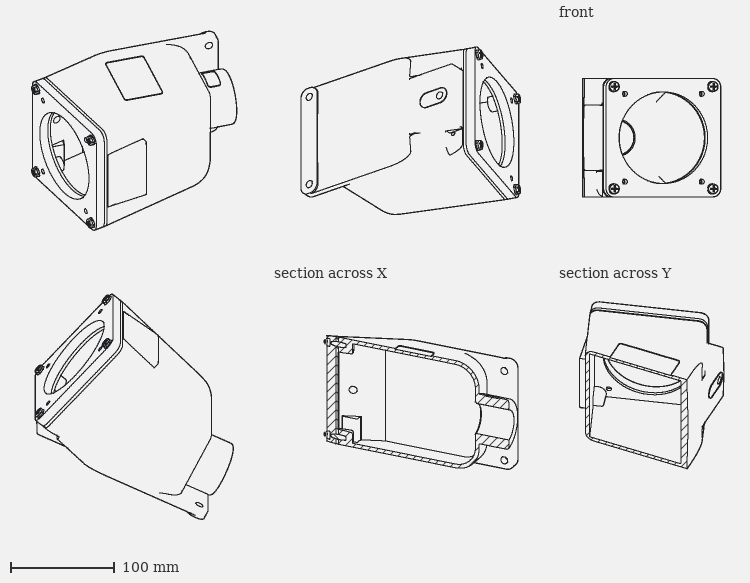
import cadquery as cq
import math


HEIGHT = 114.6
HALF_HEIGHT = HEIGHT / 2
BEYOND = 198.0

FRONT_TILT = 15.0
FRONT_RIGHT_X = 133.2
FRONT_RIGHT_Y = -166.0
CORNER_R = 8.5
COVER_T = 9.1
GASKET_T = 3.0
STACK_T = COVER_T + GASKET_T
OPENING_R = 44.1

LEFT_WALL_TILT = 19.4
RIGHT_WALL_TILT = 20.1
HOUSING_TOP_Y = -31.7
TOP_ROUND_R = 25.5
SHOULDER_R = 22.5
INNER_SHOULDER_R = 19.8
WALL_T = 4.5
RIM_FILLET = 1.5
CAVITY_LEFT_X = 9.0

BACK_X = 0.5
BACK_TAPER = 1.4
PLATE_FRONT_X = 9.9
PLATE_TOP_Y = -3.2
PLATE_BOTTOM_Y = -79.2
PLATE_EDGE_FILLET = 2.0
TOP_PAD_WIDTH = 19.4
MOUNT_HOLE_D = 7.3
MOUNT_HOLE_Y = -13.3
MOUNT_HOLE_Z = 47.5
MOUNT_HOLE_REACH = 23.8

FOOT_HALF_WIDTH = 31.5
FOOT_BOTTOM_Y = -184.1
FOOT_FILLET = 2.0
FOOT_BASE_FILLET = 2.0
OVAL_PAD_LENGTH = 32.0
OVAL_PAD_WIDTH = 15.8
OVAL_PAD_CENTER_Y = -162.3
FOOT_HOLE_Y = -170.0

RECESS_FLOOR_X = 19.2
RECESS_TOP_Y = -168.0
RECESS_SIDE_Z = -32.5
RECESS_BACKING = 4.5
RECESS_STEP_FILLET = 1.4
RECESS_FLOOR_FILLET = 0.8
GROUND_HOLE_D = 3.5
GROUND_HOLE_Y = -172.0
GROUND_HOLE_Z = -34.5
GROUND_HOLE_DEPTH = 3.2

WEDGE_TOP_INNER = (112.8, -113.6)
WEDGE_TOP_OUTER = (121.7, -111.3)
WEDGE_BOTTOM_OUTER = (130.0, -153.2)
WEDGE_BOTTOM_INNER = (124.7, -153.2)
WEDGE_FILLET = 1.5

HUB_X = 32.5
HUB_R = 27.3
HUB_EDGE_R = 3.0
BORE_R = 16.8
BORE_CHAMFER = 1.4

PANEL_DEPTH = 0.8
PANEL_CORNER_R = 2.5
LABEL_LENGTH = 64.1
LABEL_WIDTH = 38.6
LABEL_X = 51.3
LABEL_Y = -102.0
HUB_LABEL_LENGTH = 24.0
HUB_LABEL_WIDTH = 12.9
HUB_LABEL_Y = -18.2

SCREW_OFFSET = 49.3
SHANK_R = 2.4
SHANK_LENGTH = 19.8
HEAD_R = 4.5
HEAD_GAP = 1.5
HEAD_T = 1.8
HEAD_EDGE_R = 0.5
SLOT_LENGTH = 6.3
SLOT_WIDTH = 1.2
SLOT_DEPTH = 1.0
COUNTERBORE_R = 5.0
COUNTERBORE_DEPTH = 3.0
COLUMN_R = 8.3
COLUMN_LENGTH = 14.6
COLUMN_END_R = 1.5
SMALL_HOLE_D = 4.8
SMALL_HOLE_X = 38.5
SMALL_HOLE_Z = 42.4

TILT = math.radians(FRONT_TILT)
FRONT_CENTER_X = FRONT_RIGHT_X - HALF_HEIGHT * math.cos(TILT)
FRONT_CENTER_Y = FRONT_RIGHT_Y - HALF_HEIGHT * math.sin(TILT)
SCREW_PLACES = [(sx * SCREW_OFFSET, sz * SCREW_OFFSET) for sx in (-1, 1) for sz in (-1, 1)]
SMALL_HOLE_PLACES = [(sx * SMALL_HOLE_X, sz * SMALL_HOLE_Z) for sx in (-1, 1) for sz in (-1, 1)]


def front_plane(depth=0.0):
    """Workplane parallel to the cover, `depth` behind its outer face, facing outwards."""
    origin = (FRONT_CENTER_X - depth * math.sin(TILT), FRONT_CENTER_Y + depth * math.cos(TILT), 0)
    plane = cq.Plane(origin, (math.cos(TILT), math.sin(TILT), 0), (math.sin(TILT), -math.cos(TILT), 0))
    return cq.Workplane(plane)


def mouth_corner(side):
    """XY place of the housing's mouth corner on the -X (side = -1) or +X (side = 1) wall."""
    x = FRONT_CENTER_X - STACK_T * math.sin(TILT) + side * HALF_HEIGHT * math.cos(TILT)
    y = FRONT_CENTER_Y + STACK_T * math.cos(TILT) + side * HALF_HEIGHT * math.sin(TILT)
    return x, y


MOUTH_LEFT = mouth_corner(-1)
MOUTH_RIGHT = mouth_corner(1)


def left_wall_x(y, depth=0.0):
    """X at the given Y of the plane that lies `depth` inside the outer -X wall."""
    tilt = math.radians(LEFT_WALL_TILT)
    return MOUTH_LEFT[0] - math.tan(tilt) * (y - MOUTH_LEFT[1]) + depth / math.cos(tilt)


def left_wall_y(x, depth=0.0):
    """Y at the given X of the plane that lies `depth` inside the outer -X wall."""
    tilt = math.radians(LEFT_WALL_TILT)
    return MOUTH_LEFT[1] - (x - MOUTH_LEFT[0]) / math.tan(tilt) + depth / math.sin(tilt)


def right_wall_x(y, depth=0.0):
    """X at the given Y of the plane that lies `depth` inside the outer +X wall."""
    tilt = math.radians(RIGHT_WALL_TILT)
    return MOUTH_RIGHT[0] - math.tan(tilt) * (y - MOUTH_RIGHT[1]) - depth / math.cos(tilt)


def prism(points, half_height):
    """Straight-sided block over an XY outline, symmetric about Z = 0."""
    return cq.Workplane("XY").polyline(points).close().extrude(half_height, both=True)


def rounded_slab(half_height, top_y, round_r):
    """Slab along X whose two edges at `top_y` are rounded."""
    slab = cq.Workplane("XY").box(2 * BEYOND, BEYOND, 2 * half_height).translate((0, top_y - BEYOND / 2, 0))
    return slab.edges("|X and >Y").fillet(round_r)


def midpoint(start, end):
    return (start[0] + end[0]) / 2, (start[1] + end[1]) / 2


def edge_near(solid, point):
    """The edge whose middle lies closest to a point."""
    return solid.edges(cq.selectors.NearestToPointSelector(point)).val()


def housing_shell():
    """Outer body between the mounting wall and the mouth, without plate, foot and hub."""
    outline = [
        (0, HOUSING_TOP_Y),
        (right_wall_x(HOUSING_TOP_Y), HOUSING_TOP_Y),
        MOUTH_RIGHT,
        MOUTH_LEFT,
        (0, left_wall_y(0)),
    ]
    shell = prism(outline, HALF_HEIGHT)
    shell = shell.edges("|Z").edges(">Y").edges(">X").fillet(SHOULDER_R)
    shell = shell.intersect(rounded_slab(HALF_HEIGHT, HOUSING_TOP_Y, TOP_ROUND_R))
    wall_edges = [
        edge_near(shell, (x, y, side * HALF_HEIGHT))
        for x, y in (midpoint(MOUTH_RIGHT, outline[1]), midpoint(MOUTH_LEFT, outline[4]))
        for side in (-1, 1)
    ]
    shell = shell.newObject(wall_edges).fillet(CORNER_R)
    mouth_center = front_plane(STACK_T).plane.origin
    mouth_rim = shell.faces(cq.selectors.NearestToPointSelector(mouth_center.toTuple())).edges()
    return mouth_rim.fillet(RIM_FILLET)


def tapered_back():
    """Everything in front of the back surface, which falls away slightly from its centre line."""
    profile = [
        (BACK_X, 0),
        (BACK_X + BACK_TAPER, HALF_HEIGHT),
        (BEYOND, HALF_HEIGHT),
        (BEYOND, -HALF_HEIGHT),
        (BACK_X + BACK_TAPER, -HALF_HEIGHT),
    ]
    return cq.Workplane("XZ").polyline(profile).close().extrude(2 * BEYOND, both=True)


def mounting_plate():
    plate_length = PLATE_TOP_Y - PLATE_BOTTOM_Y
    plate = (
        cq.Workplane("YZ")
        .center(PLATE_TOP_Y - plate_length / 2, 0)
        .rect(plate_length, HEIGHT)
        .extrude(PLATE_FRONT_X)
    )
    plate = plate.edges("|X and >Y").fillet(CORNER_R)
    outline = plate.faces(">X").edges("not <Y")
    return outline.fillet(PLATE_EDGE_FILLET)


def mounting_foot():
    """Wedge that continues the back surface over the inclined -X wall."""
    sunk = WALL_T / 2
    foot = prism(
        [
            (0, left_wall_y(0)),
            (0, FOOT_BOTTOM_Y),
            (left_wall_x(FOOT_BOTTOM_Y), FOOT_BOTTOM_Y),
            (left_wall_x(FOOT_BOTTOM_Y) + sunk, FOOT_BOTTOM_Y + sunk),
            (sunk, left_wall_y(0) + sunk),
        ],
        FOOT_HALF_WIDTH,
    )
    foot = foot.intersect(tapered_back())
    long_edges = foot.edges("|Y").edges(">Z or <Z")
    bottom_edges = foot.faces("<Y").edges("<X or >Z or <Z")
    return long_edges.add(bottom_edges).fillet(FOOT_FILLET)


def foot_base_flares():
    """Concave strips that blend both sides of the foot into the -X wall."""
    tilt = math.radians(LEFT_WALL_TILT)
    along_wall = cq.Vector(-math.sin(tilt), math.cos(tilt), 0)
    wall_normal = cq.Vector(-math.cos(tilt), -math.sin(tilt), 0)
    start = cq.Vector(*MOUTH_LEFT, 0) + along_wall * RIM_FILLET
    sunk = FOOT_BASE_FILLET / 2
    inside_z = FOOT_HALF_WIDTH - sunk
    flare = (
        cq.Workplane(cq.Plane(start, wall_normal, along_wall))
        .moveTo(-sunk, inside_z)
        .lineTo(FOOT_BASE_FILLET, inside_z)
        .lineTo(FOOT_BASE_FILLET, FOOT_HALF_WIDTH)
        .radiusArc((0, FOOT_HALF_WIDTH + FOOT_BASE_FILLET), FOOT_BASE_FILLET)
        .lineTo(-sunk, FOOT_HALF_WIDTH + FOOT_BASE_FILLET)
        .close()
        .extrude(-FOOT_BOTTOM_Y)
        .intersect(tapered_back())
    )
    foot_reach = cq.Workplane("XY").box(BEYOND, BEYOND, BEYOND)
    foot_reach = foot_reach.translate((0, left_wall_y(0) - BEYOND / 2, 0))
    flare = flare.intersect(foot_reach)
    return flare, flare.mirror("XY")


def side_wedge():
    wedge = prism(
        [WEDGE_TOP_INNER, WEDGE_TOP_OUTER, WEDGE_BOTTOM_OUTER, WEDGE_BOTTOM_INNER], FOOT_HALF_WIDTH
    )
    outer_middle = midpoint(WEDGE_TOP_OUTER, WEDGE_BOTTOM_OUTER)
    outer_face = wedge.faces(cq.selectors.NearestToPointSelector((*outer_middle, 0)))
    return outer_face.edges("not <Y").fillet(WEDGE_FILLET)


def hub():
    length = -HOUSING_TOP_Y + WALL_T
    tube = cq.Workplane("XZ").center(HUB_X, 0).circle(HUB_R).extrude(length)
    return tube.faces(">Y").edges().fillet(HUB_EDGE_R)


def hub_bore():
    """Conduit bore, chamfered where it enters the cavity."""
    inner_y = HOUSING_TOP_Y - WALL_T
    bore = cq.Workplane("XZ").center(HUB_X, 0).circle(BORE_R).extrude(-inner_y + WALL_T)
    mouth = cq.Solid.makeCone(
        BORE_R, BORE_R + BORE_CHAMFER, BORE_CHAMFER,
        pnt=cq.Vector(HUB_X, inner_y + BORE_CHAMFER, 0), dir=cq.Vector(0, -1, 0),
    )
    return bore.union(cq.Workplane(mouth))


def cavity():
    """Inside of the housing, one wall thickness within the shell and open at the mouth."""
    inner_top_y = HOUSING_TOP_Y - WALL_T
    below = FOOT_BOTTOM_Y - STACK_T
    outline = [
        (CAVITY_LEFT_X, inner_top_y),
        (right_wall_x(inner_top_y, WALL_T), inner_top_y),
        (right_wall_x(below, WALL_T), below),
        (left_wall_x(below, WALL_T), below),
        (CAVITY_LEFT_X, left_wall_y(CAVITY_LEFT_X, WALL_T)),
    ]
    inside = prism(outline, HALF_HEIGHT - WALL_T)
    inside = inside.edges("|Z").edges(">Y").edges(">X").fillet(INNER_SHOULDER_R)
    return inside.intersect(rounded_slab(HALF_HEIGHT - WALL_T, inner_top_y, TOP_ROUND_R - WALL_T))


def screw_columns():
    """Round-ended corner columns behind the mouth that take the cover screws."""
    columns = front_plane(STACK_T).pushPoints(SCREW_PLACES).circle(COLUMN_R).extrude(-COLUMN_LENGTH)
    column_ends = columns.faces(cq.selectors.DirectionMinMaxSelector(front_plane().plane.zDir, False))
    return column_ends.edges().fillet(COLUMN_END_R)


def ground_recess():
    """Flat-floored recess in the -X wall; its step is rounded at the wall and at the floor."""
    tilt = math.radians(LEFT_WALL_TILT)
    round_y = RECESS_TOP_Y + RECESS_STEP_FILLET
    round_x = left_wall_x(round_y, RECESS_STEP_FILLET)
    wall_tangent = (
        round_x - RECESS_STEP_FILLET * math.cos(tilt),
        round_y - RECESS_STEP_FILLET * math.sin(tilt),
    )
    return (
        cq.Workplane("XY", origin=(0, 0, -HALF_HEIGHT))
        .moveTo(0, FOOT_BOTTOM_Y)
        .lineTo(RECESS_FLOOR_X, FOOT_BOTTOM_Y)
        .lineTo(RECESS_FLOOR_X, RECESS_TOP_Y - RECESS_FLOOR_FILLET)
        .radiusArc((RECESS_FLOOR_X - RECESS_FLOOR_FILLET, RECESS_TOP_Y), -RECESS_FLOOR_FILLET)
        .lineTo(round_x, RECESS_TOP_Y)
        .radiusArc(wall_tangent, RECESS_STEP_FILLET)
        .lineTo(0, wall_tangent[1])
        .close()
        .extrude(HALF_HEIGHT + RECESS_SIDE_Z)
    )


def rounded_panel(length, width, depth):
    return cq.Workplane("XY").rect(length, width).extrude(depth).edges("|Z").fillet(PANEL_CORNER_R)


def pads():
    """Flat mounting pads that stand out from the tapered back to X = 0."""
    depth = BACK_X + BACK_TAPER + WALL_T / 2
    top_pad = (
        cq.Workplane("YZ")
        .center(PLATE_TOP_Y - TOP_PAD_WIDTH / 2, 0)
        .rect(TOP_PAD_WIDTH, HEIGHT)
        .extrude(depth)
        .edges("|X")
        .fillet(CORNER_R)
    )
    oval_pad = (
        cq.Workplane("YZ")
        .center(OVAL_PAD_CENTER_Y, 0)
        .slot2D(OVAL_PAD_LENGTH, OVAL_PAD_WIDTH)
        .extrude(depth)
    )
    return top_pad.union(oval_pad)


def mounting_holes():
    places = [(MOUNT_HOLE_Y, MOUNT_HOLE_Z), (MOUNT_HOLE_Y, -MOUNT_HOLE_Z), (FOOT_HOLE_Y, 0)]
    return cq.Workplane("YZ").pushPoints(places).circle(MOUNT_HOLE_D / 2).extrude(MOUNT_HOLE_REACH)


def label_panels():
    """Shallow panels sunk into the +Z face of the body and into the +Z side of the hub."""
    body_panel = (
        rounded_panel(LABEL_LENGTH, LABEL_WIDTH, BEYOND)
        .translate((LABEL_X, LABEL_Y, HALF_HEIGHT - PANEL_DEPTH))
    )
    hub_skin = cq.Workplane("XZ").center(HUB_X, 0).circle(HUB_R + PANEL_DEPTH).circle(HUB_R - PANEL_DEPTH)
    hub_panel = (
        rounded_panel(HUB_LABEL_LENGTH, HUB_LABEL_WIDTH, HUB_R + PANEL_DEPTH)
        .translate((HUB_X, HUB_LABEL_Y, 0))
        .intersect(hub_skin.extrude(-HOUSING_TOP_Y))
    )
    return body_panel, hub_panel


def build_housing():
    shell = housing_shell()
    hollow = cavity()
    recess = ground_recess()
    backing = recess.union(recess.translate((RECESS_BACKING, RECESS_BACKING, RECESS_BACKING)))
    inner_solids = screw_columns().union(backing).intersect(shell)

    housing = shell.union(mounting_plate()).intersect(tapered_back())
    housing = housing.union(mounting_foot())
    for flare in foot_base_flares():
        housing = housing.union(flare)
    housing = housing.cut(recess)
    housing = housing.union(side_wedge()).union(pads())
    housing = housing.union(hub())
    housing = housing.cut(hollow.cut(inner_solids))
    housing = housing.cut(hub_bore()).cut(mounting_holes())
    ground_hole = (
        cq.Workplane("YZ", origin=(RECESS_FLOOR_X, GROUND_HOLE_Y, GROUND_HOLE_Z))
        .circle(GROUND_HOLE_D / 2)
        .extrude(GROUND_HOLE_DEPTH)
    )
    housing = housing.cut(ground_hole)
    for panel in label_panels():
        housing = housing.cut(panel)
    return housing.cut(shank_space()).solids()


def front_layer(depth, thickness):
    """Square plate with the round opening and all screw holes, `depth` behind the cover face."""
    return (
        front_plane(depth)
        .rect(HEIGHT, HEIGHT)
        .extrude(-thickness)
        .edges(cq.selectors.ParallelDirSelector(front_plane().plane.zDir))
        .fillet(CORNER_R)
        .cut(front_plane().circle(OPENING_R).extrude(-STACK_T))
        .cut(front_plane().pushPoints(SMALL_HOLE_PLACES).circle(SMALL_HOLE_D / 2).extrude(-STACK_T))
        .cut(shank_space())
    )


def build_gasket():
    return front_layer(COVER_T, GASKET_T)


def build_cover():
    counterbores = front_plane().pushPoints(SCREW_PLACES).circle(COUNTERBORE_R).extrude(-COUNTERBORE_DEPTH)
    return front_layer(0, COVER_T).cut(counterbores)


def shank_space():
    return front_plane().pushPoints(SCREW_PLACES).circle(SHANK_R).extrude(-SHANK_LENGTH)


def build_screw(place):
    """Cross-slotted screw whose head stands just clear of the cover."""
    shank = front_plane().center(*place).circle(SHANK_R).extrude(-SHANK_LENGTH)
    neck = front_plane().center(*place).circle(SHANK_R).extrude(HEAD_GAP)
    head = front_plane(-HEAD_GAP).center(*place).circle(HEAD_R).extrude(HEAD_T)
    head_rim = head.faces(cq.selectors.DirectionMinMaxSelector(front_plane().plane.zDir)).edges()
    head = head_rim.fillet(HEAD_EDGE_R)
    slot_plane = front_plane(-(HEAD_GAP + HEAD_T)).center(*place)
    slot = slot_plane.rect(SLOT_LENGTH, SLOT_WIDTH).extrude(-SLOT_DEPTH)
    cross_slot = slot_plane.rect(SLOT_WIDTH, SLOT_LENGTH).extrude(-SLOT_DEPTH)
    return shank.union(neck).union(head).cut(slot).cut(cross_slot)


housing = build_housing()
gasket = build_gasket()
cover = build_cover()
screws = [build_screw(place) for place in SCREW_PLACES]

result = cq.Compound.makeCompound(
    [housing.val(), gasket.val(), cover.val(), *[screw.val() for screw in screws]]
)